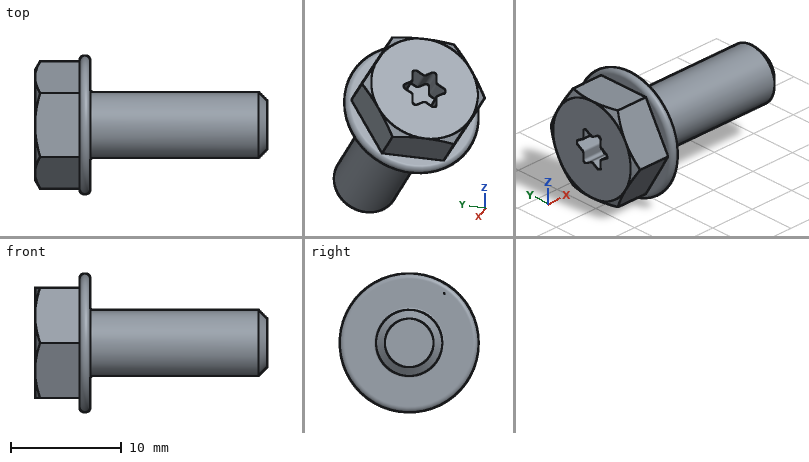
import cadquery as cq
import math

total_length = 21.0

hexagon_sides = 6
across_flats = 10.0
head_height = 4.0
face_diameter = across_flats
head_chamfer_angle = 30.0

flange_diameter = 12.6
flange_thickness = 1.0

shank_diameter = 6.0
tip_chamfer = 0.8
neck_fillet = 0.2

socket_lobes = 6
socket_tip_reach = 2.23
socket_corner_radius = 0.27
socket_depth = 2.5

across_corners = across_flats / math.cos(math.pi / hexagon_sides)
flange_back = head_height + flange_thickness


def head():
    """Hexagonal prism with corners on Y, its end face trimmed by a cone."""
    prism = cq.Workplane("YZ").polygon(hexagon_sides, across_corners).extrude(head_height)
    face_radius = face_diameter / 2
    outer_radius = flange_diameter / 2
    cone_length = (outer_radius - face_radius) * math.tan(math.radians(head_chamfer_angle))
    envelope = (
        cq.Workplane("XY")
        .moveTo(0, 0)
        .lineTo(0, face_radius)
        .lineTo(cone_length, outer_radius)
        .lineTo(head_height, outer_radius)
        .lineTo(head_height, 0)
        .close()
        .revolve(360, (0, 0, 0), (1, 0, 0))
    )
    return prism.intersect(envelope)


def flange_and_shank():
    """Revolved flange, neck fillet, shank and chamfered tip."""
    flange_radius = flange_diameter / 2
    flat_radius = flange_radius - flange_thickness / 2
    shank_radius = shank_diameter / 2
    fillet_middle = neck_fillet * (1 - math.sqrt(0.5))
    return (
        cq.Workplane("XY")
        .moveTo(head_height, 0)
        .lineTo(head_height, flat_radius)
        .threePointArc((head_height + flange_thickness / 2, flange_radius), (flange_back, flat_radius))
        .lineTo(flange_back, shank_radius + neck_fillet)
        .threePointArc(
            (flange_back + fillet_middle, shank_radius + fillet_middle),
            (flange_back + neck_fillet, shank_radius),
        )
        .lineTo(total_length - tip_chamfer, shank_radius)
        .lineTo(total_length, shank_radius - tip_chamfer)
        .lineTo(total_length, 0)
        .close()
        .revolve(360, (0, 0, 0), (1, 0, 0))
    )


def drive_socket():
    """Six-pointed star, points on Y, with rounded points and valleys."""
    valley_reach = socket_tip_reach / math.sqrt(3)
    points = []
    for index in range(2 * socket_lobes):
        reach = valley_reach if index % 2 else socket_tip_reach
        angle = index * math.pi / socket_lobes
        points.append((reach * math.cos(angle), reach * math.sin(angle)))
    star = cq.Workplane("YZ").polyline(points).close().extrude(socket_depth)
    return star.edges("|X").fillet(socket_corner_radius)


result = head().union(flange_and_shank()).cut(drive_socket())